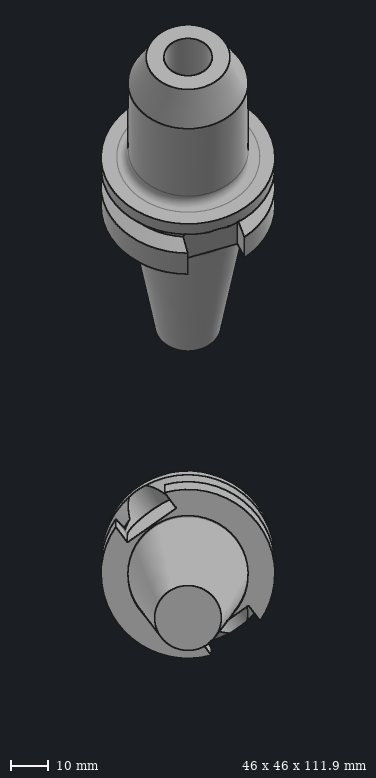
import cadquery as cq

total_length = 111.9
taper_length = 48.5
taper_large_radius = 15.9
taper_ratio = 7 / 24
taper_small_radius = taper_large_radius - taper_length * taper_ratio / 2

flange_diameter = 46.0
flange_radius = flange_diameter / 2
flange_bottom = 49.5
flange_top = 70.4
groove_radius = 19.1
groove_center = 62.1
groove_floor_width = 3.7
groove_mouth_width = 7.8

nose_radius = 15.9
nose_tip_radius = 11.1
nose_cone_height = 10.5
nose_fillet = 3.0

bore_diameter = 12.8
bore_depth = 44.8

slot_width = 15.9
slot_top = 66.5
slot_floor_distance = 16.3


def make_body():
    """Revolve the half profile of shank, flange and nose about Z."""
    floor_half = groove_floor_width / 2
    mouth_half = groove_mouth_width / 2
    return (
        cq.Workplane("XZ")
        .moveTo(0, 0)
        .lineTo(taper_small_radius, 0)
        .lineTo(taper_large_radius, taper_length)
        .lineTo(taper_large_radius, flange_bottom)
        .lineTo(flange_radius, flange_bottom)
        .lineTo(flange_radius, groove_center - mouth_half)
        .lineTo(groove_radius, groove_center - floor_half)
        .lineTo(groove_radius, groove_center + floor_half)
        .lineTo(flange_radius, groove_center + mouth_half)
        .lineTo(flange_radius, flange_top)
        .lineTo(nose_radius + nose_fillet, flange_top)
        .radiusArc((nose_radius, flange_top + nose_fillet), nose_fillet)
        .lineTo(nose_radius, total_length - nose_cone_height)
        .lineTo(nose_tip_radius, total_length)
        .lineTo(0, total_length)
        .close()
        .revolve(360, (0, 0, 0), (0, 1, 0))
    )


def make_bore():
    return (
        cq.Workplane("XY", origin=(0, 0, total_length - bore_depth))
        .circle(bore_diameter / 2)
        .extrude(bore_depth)
    )


def make_drive_slot(side):
    """Round-topped slot, open at the flange bottom; side is +1 or -1 along X."""
    half_width = slot_width / 2
    arc_center_height = slot_top - half_width
    cut_depth = flange_radius - slot_floor_distance
    return (
        cq.Workplane("YZ", origin=(side * slot_floor_distance, 0, 0))
        .moveTo(-half_width, flange_bottom)
        .lineTo(half_width, flange_bottom)
        .lineTo(half_width, arc_center_height)
        .threePointArc((0, slot_top), (-half_width, arc_center_height))
        .close()
        .extrude(side * cut_depth)
    )


result = make_body().cut(make_bore())
for side in (-1, 1):
    result = result.cut(make_drive_slot(side))